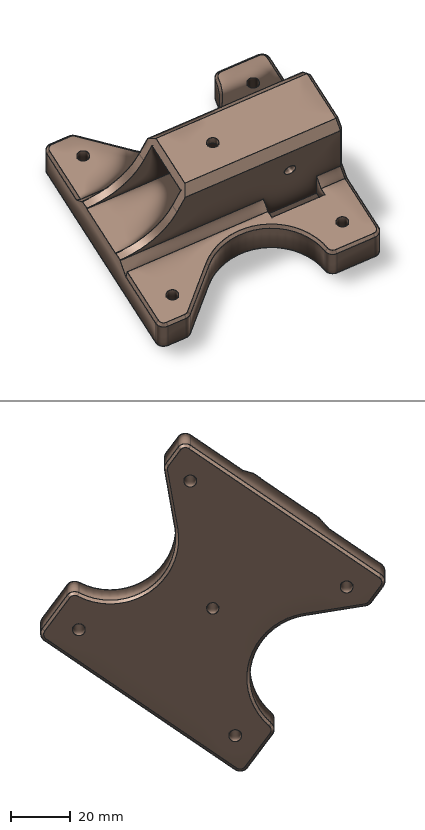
import cadquery as cq
import math

SIDE = 84.0
HALF = SIDE / 2
BASE_HEIGHT = 13.2
CORNER_RADIUS = 3.0
NOTCH_RADIUS = 21.8
EDGE_CHAMFER = 1.0
MOUNT_HOLE_DIAMETER = 4.2
MOUNT_HOLE_SPACING = 64.0

TOTAL_HEIGHT = 40.0
TUBE_HALF_WIDTH = 13.5
WALL = 3.2
GUSSET = WALL
BORE_FLOOR = BASE_HEIGHT + GUSSET
BORE_CEILING = TOTAL_HEIGHT - WALL
BORE_CENTER = (BORE_FLOOR + BORE_CEILING) / 2

SWEEP_RADIUS = 23.7
SWEEP_BOTTOM = 16.7
SWEEP_LEAN = math.radians(25.5)

CROSS_HOLE_DIAMETER = 4.2
CROSS_HOLE_Y = 22.0
POCKET_LENGTH = 20.0
POCKET_OUTER_X = 19.5
POCKET_DEPTH = BASE_HEIGHT / 2
ROOF_HOLE_DIAMETER = 4.0


def make_base():
    """Plate with a round notch on each side that runs out at 45 degrees to the front corners."""
    tangent = NOTCH_RADIUS * math.sqrt(0.5)
    run_out_y = -2 * tangent
    outline = (
        cq.Workplane("XY")
        .moveTo(-HALF, -HALF)
        .lineTo(HALF, -HALF)
        .lineTo(HALF, run_out_y)
        .lineTo(HALF - tangent, -tangent)
        .threePointArc((HALF - NOTCH_RADIUS, 0), (HALF, NOTCH_RADIUS))
        .lineTo(HALF, HALF)
        .lineTo(-HALF, HALF)
        .lineTo(-HALF, NOTCH_RADIUS)
        .threePointArc((-HALF + NOTCH_RADIUS, 0), (-HALF + tangent, -tangent))
        .lineTo(-HALF, run_out_y)
        .close()
    )
    plate = outline.extrude(BASE_HEIGHT)
    plate = plate.edges("|Z").edges("<X or >X").fillet(CORNER_RADIUS)
    return plate.faces("<Z or >Z").edges().chamfer(EDGE_CHAMFER)


def make_tube():
    """Solid tube body; its 45 degree gussets continue down into the plate."""
    foot_drop = 2 * EDGE_CHAMFER
    foot_half_width = TUBE_HALF_WIDTH + GUSSET + foot_drop
    right_side = [
        (foot_half_width, BASE_HEIGHT - foot_drop),
        (TUBE_HALF_WIDTH, BASE_HEIGHT + GUSSET),
        (TUBE_HALF_WIDTH, TOTAL_HEIGHT - WALL),
        (TUBE_HALF_WIDTH - WALL, TOTAL_HEIGHT),
    ]
    left_side = [(-x, z) for x, z in reversed(right_side)]
    body = (
        cq.Workplane("XZ", origin=(0, HALF, 0))
        .polyline(right_side + left_side)
        .close()
        .extrude(SIDE)
    )
    rear_outline = body.faces(">Y").edges("not(<Z)")
    return rear_outline.chamfer(EDGE_CHAMFER)


def make_sweep_cut():
    """Material above a leaning line that blends into an arc lying level at the front."""
    center_z = SWEEP_BOTTOM + SWEEP_RADIUS
    blend_y = -HALF + SWEEP_RADIUS * math.cos(SWEEP_LEAN)
    blend_z = center_z - SWEEP_RADIUS * math.sin(SWEEP_LEAN)
    half_turn = (math.pi / 2 - SWEEP_LEAN) / 2
    middle_y = -HALF + SWEEP_RADIUS * math.sin(half_turn)
    middle_z = center_z - SWEEP_RADIUS * math.cos(half_turn)
    top_y = blend_y + (TOTAL_HEIGHT - blend_z) * math.tan(SWEEP_LEAN)
    return (
        cq.Workplane("YZ")
        .moveTo(-HALF, SWEEP_BOTTOM)
        .threePointArc((middle_y, middle_z), (blend_y, blend_z))
        .lineTo(top_y, TOTAL_HEIGHT)
        .lineTo(-HALF, TOTAL_HEIGHT)
        .close()
        .extrude(TUBE_HALF_WIDTH, both=True)
    )


def make_bore():
    """Square passage along the whole tube."""
    return (
        cq.Workplane("XY", origin=(0, 0, BORE_FLOOR))
        .rect(2 * (TUBE_HALF_WIDTH - WALL), SIDE)
        .extrude(BORE_CEILING - BORE_FLOOR)
    )


def make_pockets():
    """Pockets beside the tube walls, sunk through the gussets into the plate."""
    width = POCKET_OUTER_X - TUBE_HALF_WIDTH
    center_x = (POCKET_OUTER_X + TUBE_HALF_WIDTH) / 2
    return (
        cq.Workplane("XY", origin=(0, CROSS_HOLE_Y, BASE_HEIGHT - POCKET_DEPTH))
        .pushPoints([(-center_x, 0), (center_x, 0)])
        .rect(width, POCKET_LENGTH)
        .extrude(POCKET_DEPTH + GUSSET)
    )


def make_holes():
    """Four mounting holes, the hole through roof and plate, and the cross hole."""
    mount = (
        cq.Workplane("XY")
        .rect(MOUNT_HOLE_SPACING, MOUNT_HOLE_SPACING, forConstruction=True)
        .vertices()
        .circle(MOUNT_HOLE_DIAMETER / 2)
        .extrude(BASE_HEIGHT)
    )
    roof = cq.Workplane("XY").circle(ROOF_HOLE_DIAMETER / 2).extrude(TOTAL_HEIGHT)
    cross = (
        cq.Workplane("YZ")
        .center(CROSS_HOLE_Y, BORE_CENTER)
        .circle(CROSS_HOLE_DIAMETER / 2)
        .extrude(TUBE_HALF_WIDTH, both=True)
    )
    return mount.union(roof).union(cross)


result = make_base().union(make_tube())
for cutter in (make_sweep_cut(), make_bore(), make_pockets(), make_holes()):
    result = result.cut(cutter)